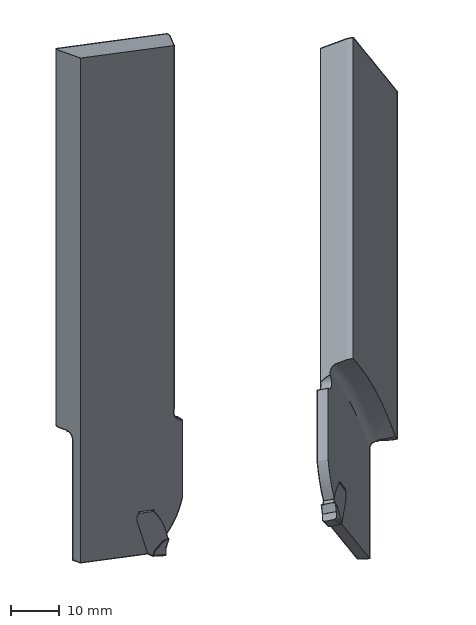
import cadquery as cq

LENGTH = 110.0
WIDTH = 25.1

SHANK_THICKNESS = 8.0
SIDE_LAND = 1.3
SIDE_TAPER = 2.0
BLADE_BOTTOM = 0.9

BLADE_THICKNESS = 2.4
BLADE_X = SHANK_THICKNESS - BLADE_THICKNESS
SHOULDER_Z = 34.6
SHOULDER_ARC_Y = 21.1
SHOULDER_RADIUS = 35.8
SHOULDER_FILLET = 1.6
FRONT_STEP_Z = 28.5
FRONT_STEP_DEPTH = 1.3
CUT_MARGIN = 5.5

BLADE_BACK_Y = 25.0
NOTCH_Z = 30.9
NOTCH_RADIUS = 2.1

CLEARANCE_TOP_Z = 12.1
CLEARANCE_MID = (23.9, 8.8)
CLEARANCE_END = (21.5, 4.7)
CLEARANCE_FOOT_Y = 17.6

INSERT_TOP_Z = 9.9
SEAT_GAP = 0.3
HEAD_OVERHANG = 0.3
TIP_CHAMFER = 0.3
INSERT_TIP = (21.1, 0.0)
INSERT_HEEL = (18.3, 0.2)
INSERT_FRONT_LOW = (17.2, 0.9)
INSERT_FRONT_HIGH = (14.7, 8.1)
INSERT_FRONT_BEND = (14.7, 9.4)
INSERT_TOP_FRONT_Y = 15.2
INSERT_TOP_BACK_Y = 18.5
INSERT_BACK_MID = (20.2, 7.6)
INSERT_BACK_LOW = (21.5, 4.4)
RAKE_TOP = (21.8, 3.6)
RAKE_LOW = (21.1, 1.8)
HEAD_INNER_TOP = (20.6, 3.3)
HEAD_INNER_LOW = (18.6, 1.3)


def make_bar():
    """Bevelled bar running the full height of the holder."""
    return (
        cq.Workplane("XY", origin=(0, 0, BLADE_BOTTOM))
        .polyline([
            (0, 0),
            (SIDE_LAND, 0),
            (SHANK_THICKNESS, SIDE_TAPER),
            (SHANK_THICKNESS, WIDTH - SIDE_TAPER),
            (SIDE_LAND, WIDTH),
            (0, WIDTH),
        ])
        .close()
        .extrude(LENGTH - BLADE_BOTTOM)
    )


def shoulder_z(y):
    """Height of the shoulder arc at a given Y."""
    run = SHOULDER_ARC_Y - y
    return SHOULDER_Z - SHOULDER_RADIUS + (SHOULDER_RADIUS**2 - run**2) ** 0.5


def make_shoulder_cutter():
    """Material removed beside the blade, with a rounded inner corner."""
    front_y = -CUT_MARGIN
    back_y = WIDTH + CUT_MARGIN
    cutter = (
        cq.Workplane("YZ", origin=(-CUT_MARGIN, 0, 0))
        .moveTo(back_y, -CUT_MARGIN)
        .lineTo(back_y, SHOULDER_Z)
        .lineTo(SHOULDER_ARC_Y, SHOULDER_Z)
        .threePointArc(
            (SHOULDER_ARC_Y / 2, shoulder_z(SHOULDER_ARC_Y / 2)),
            (front_y, shoulder_z(front_y)),
        )
        .lineTo(front_y, -CUT_MARGIN)
        .close()
        .extrude(BLADE_X + CUT_MARGIN)
    )
    shoulder_edges = cq.selectors.BoxSelector(
        (BLADE_X - 1.1, front_y, SHOULDER_Z / 2),
        (BLADE_X + 1.1, back_y - 1.1, SHOULDER_Z + 1.1),
    )
    return cutter.edges(shoulder_edges).fillet(SHOULDER_FILLET)


def make_front_step_cutter():
    """Levels the front end of the shoulder beside the blade."""
    return cq.Workplane("XY").box(
        BLADE_X - SHOULDER_FILLET,
        FRONT_STEP_DEPTH,
        FRONT_STEP_Z,
        centered=False,
    )


def blade_plate():
    """Sketch plane on the inner face of the blade."""
    return cq.Workplane("YZ", origin=(BLADE_X, 0, 0))


def make_back_edge():
    """Square strip that fills out the bevelled back of the blade up to the notch."""
    return (
        blade_plate()
        .moveTo(WIDTH / 2, BLADE_BOTTOM)
        .lineTo(BLADE_BACK_Y, BLADE_BOTTOM)
        .lineTo(BLADE_BACK_Y, NOTCH_Z)
        .lineTo(WIDTH / 2, NOTCH_Z)
        .close()
        .extrude(BLADE_THICKNESS)
    )


def make_notch_cutter():
    return blade_plate().center(WIDTH, NOTCH_Z).circle(NOTCH_RADIUS).extrude(BLADE_THICKNESS)


def make_clearance_cutter():
    """Lower back corner of the blade, bounded by the clearance curve."""
    return (
        blade_plate()
        .moveTo(BLADE_BACK_Y, CLEARANCE_TOP_Z)
        .threePointArc(CLEARANCE_MID, CLEARANCE_END)
        .lineTo(CLEARANCE_FOOT_Y, BLADE_BOTTOM)
        .lineTo(CLEARANCE_FOOT_Y, -CUT_MARGIN)
        .lineTo(WIDTH + CUT_MARGIN, -CUT_MARGIN)
        .lineTo(WIDTH + CUT_MARGIN, CLEARANCE_TOP_Z)
        .close()
        .extrude(BLADE_THICKNESS)
    )


def make_insert_plate():
    """Insert outline at blade thickness."""
    return (
        blade_plate()
        .moveTo(*INSERT_TIP)
        .lineTo(*INSERT_HEEL)
        .lineTo(*INSERT_FRONT_LOW)
        .lineTo(*INSERT_FRONT_HIGH)
        .lineTo(*INSERT_FRONT_BEND)
        .lineTo(INSERT_TOP_FRONT_Y, INSERT_TOP_Z)
        .lineTo(INSERT_TOP_BACK_Y, INSERT_TOP_Z)
        .threePointArc(INSERT_BACK_MID, INSERT_BACK_LOW)
        .lineTo(*RAKE_TOP)
        .lineTo(*RAKE_LOW)
        .close()
        .extrude(BLADE_THICKNESS)
    )


def make_seat_cutter():
    """Insert outline plus a narrow gap above its flat top."""
    gap = (
        blade_plate()
        .moveTo(INSERT_TOP_FRONT_Y, INSERT_TOP_Z)
        .lineTo(INSERT_TOP_BACK_Y, INSERT_TOP_Z)
        .lineTo(INSERT_TOP_BACK_Y, INSERT_TOP_Z + SEAT_GAP)
        .lineTo(INSERT_TOP_FRONT_Y, INSERT_TOP_Z + SEAT_GAP)
        .close()
        .extrude(BLADE_THICKNESS)
    )
    return make_insert_plate().union(gap)


def make_insert_head():
    """Cutting head, wider than the blade, with chamfered tip corners."""
    return (
        cq.Workplane("YZ", origin=(BLADE_X - HEAD_OVERHANG, 0, 0))
        .polyline([INSERT_TIP, INSERT_HEEL, HEAD_INNER_LOW, HEAD_INNER_TOP, RAKE_TOP, RAKE_LOW])
        .close()
        .extrude(BLADE_THICKNESS + 2 * HEAD_OVERHANG)
        .edges(cq.selectors.BoxSelector(
            (0, INSERT_HEEL[0], -TIP_CHAMFER),
            (LENGTH, INSERT_TIP[0], TIP_CHAMFER),
        ))
        .edges("not |X")
        .chamfer(TIP_CHAMFER)
    )


def make_holder():
    return (
        make_bar()
        .cut(make_shoulder_cutter())
        .cut(make_front_step_cutter())
        .union(make_back_edge())
        .cut(make_notch_cutter())
        .cut(make_clearance_cutter())
        .cut(make_seat_cutter())
    )


def make_insert():
    return make_insert_plate().union(make_insert_head())


holder = make_holder()
insert = make_insert()
result = cq.Compound.makeCompound([holder.val(), insert.val()])